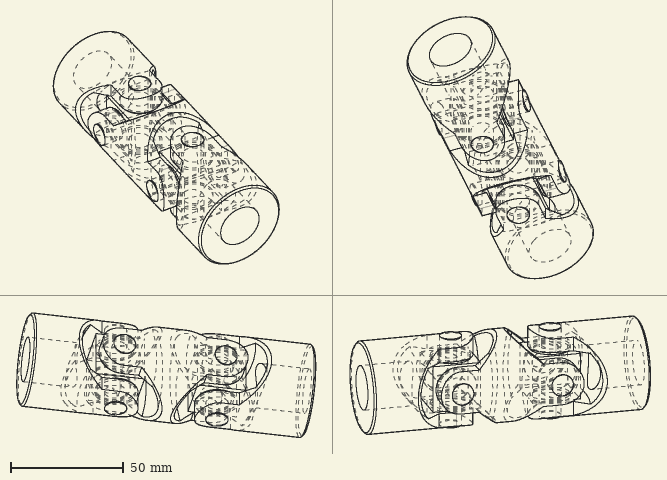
import cadquery as cq


joint_length = 128.0
body_diameter = 42.0
body_radius = body_diameter / 2
pivot_offset = 23.0
end_chamfer = 0.9
bore_diameter = 20.0

ear_radius = 10.0
shoulder_start = 8.2
shoulder_end = 20.7
throat_width = 24.0
throat_axis_offset = 3.8
throat_mid_radius = 17.3
throat_end_radius = 14.8

pin_diameter = 10.0
collar_diameter = 18.0
block_size = 22.0
block_thickness = 21.5

end_yoke_length = joint_length / 2 - pivot_offset


def rod(length):
    """Solid cylinder of the body diameter from the origin along +X."""
    return cq.Workplane("YZ").circle(body_radius).extrude(length)


def centred_cylinder(plane, diameter, length):
    """Cylinder centred on the origin, its axis normal to the named plane."""
    return cq.Workplane(plane).circle(diameter / 2).extrude(length / 2, both=True)


def throat_cutter():
    """Gap between the ears: a slot open towards -X with a barrel-shaped bottom."""
    barrel = (
        cq.Workplane("XY")
        .moveTo(0, -body_radius)
        .lineTo(throat_end_radius, -body_radius)
        .threePointArc((throat_mid_radius, 0), (throat_end_radius, body_radius))
        .lineTo(0, body_radius)
        .close()
        .revolve(360, (0, 0, 0), (0, 1, 0))
    )
    slab = cq.Workplane("XY").box(body_diameter, body_diameter, throat_width)
    open_slot = slab.translate((-body_radius, 0, 0))
    return barrel.intersect(slab).union(open_slot).translate((throat_axis_offset, 0, 0))


def fork(length):
    """Fork with its pivot at the origin, ears at +Z and -Z, body running to +X."""
    silhouette = (
        cq.Workplane("XY")
        .moveTo(0, ear_radius)
        .lineTo(shoulder_start, ear_radius)
        .lineTo(shoulder_end, body_radius)
        .lineTo(length, body_radius)
        .lineTo(length, -body_radius)
        .lineTo(shoulder_end, -body_radius)
        .lineTo(shoulder_start, -ear_radius)
        .lineTo(0, -ear_radius)
        .threePointArc((-ear_radius, 0), (0, ear_radius))
        .close()
        .extrude(body_radius, both=True)
    )
    blank = rod(length + ear_radius).translate((-ear_radius, 0, 0))
    pin_hole = centred_cylinder("XY", pin_diameter, body_diameter)
    return blank.intersect(silhouette).cut(throat_cutter()).cut(pin_hole)


def end_yoke():
    """Fork at the origin with a bored hub and a chamfered outer end at +X."""
    bore = cq.Workplane("YZ").circle(bore_diameter / 2).extrude(end_yoke_length)
    chamfered_rod = (
        rod(end_yoke_length + ear_radius)
        .faces(">X").chamfer(end_chamfer)
        .translate((-ear_radius, 0, 0))
    )
    return fork(end_yoke_length).intersect(chamfered_rod).cut(bore)


def double_yoke():
    """Two forks joined back to back at the joint centre, ears at +Y and -Y."""
    right_half = (
        fork(pivot_offset)
        .rotate((0, 0, 0), (1, 0, 0), 90)
        .rotate((0, 0, 0), (0, 0, 1), 180)
        .translate((pivot_offset, 0, 0))
    )
    left_half = right_half.rotate((0, 0, 0), (0, 0, 1), 180)
    return right_half.union(left_half)


def cross():
    """Block at the origin with flat-ended pins and bearing collars along Y and Z."""
    body = cq.Workplane("XY").box(block_size, block_thickness, block_thickness)
    for plane in ("XY", "XZ"):
        body = body.union(centred_cylinder(plane, collar_diameter, throat_width))
        body = body.union(centred_cylinder(plane, pin_diameter, body_diameter))
    return body


bodies = [double_yoke().solids().val()]
for turn in (0, 180):
    for make_body in (end_yoke, cross):
        placed = make_body().translate((pivot_offset, 0, 0)).rotate((0, 0, 0), (0, 0, 1), turn)
        bodies.append(placed.solids().val())

result = cq.Compound.makeCompound(bodies)